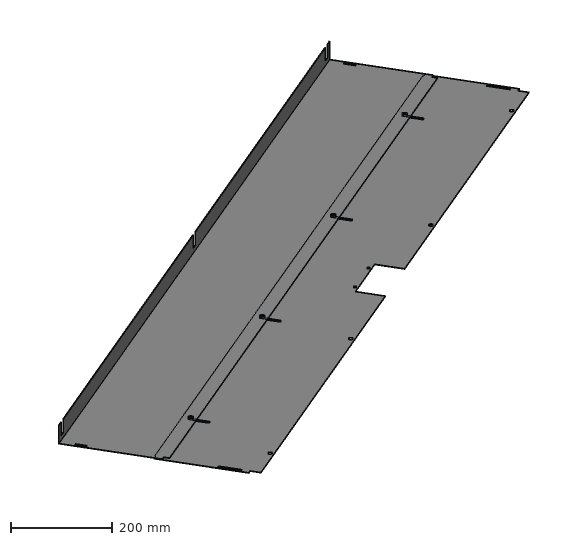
import cadquery as cq

length = 1725.0
width = 418.0
height = 43.0
half_length = length / 2

sheet = 1.5
panel_top = sheet
floor_top = panel_top + sheet

floor_width = 228.0
flange_notch_width = 14.0
flange_notch_bottom = 14.0
end_notch_y = 842.0
flange_notch_places = (-end_notch_y, 0, end_notch_y)
floor_relief_start = 215.0
floor_slot_start = 33.0
floor_slot_end = 57.0

panel_start = 197.0
tab_start = 198.0
tab_end = 395.0
cutout_depth = 62.0
cutout_width = 123.0
panel_slot_start = 330.0
panel_slot_end = 378.0

corner_relief = 9.0
end_slot_width = 3.0
end_slot_y = 856.0

edge_hole_diameter = 9.0
edge_hole_inset = 9.0
edge_hole_places = (-770.0, -255.0, 255.0, 770.0)
cutout_hole_diameter = 6.4
cutout_hole_inset = 7.0
cutout_hole_spacing = 85.0

screw_count = 4
screw_x = 215.0
last_screw_y = 682.0
shank_diameter = 6.4
head_diameter = 11.2
head_height = 3.0
socket_diameter = 5.5
socket_depth = 2.0
adjusting_slot_end = 252.0

screw_pitch = 2 * last_screw_y / (screw_count - 1)
screw_places = [-last_screw_y + i * screw_pitch for i in range(screw_count)]


def slab(x_start, x_end, y_start, y_end, z_start, z_end):
    """Rectangular block between the given limits."""
    size = (x_end - x_start, y_end - y_start, z_end - z_start)
    return cq.Workplane().box(*size, centered=False).translate((x_start, y_start, z_start))


def cylinder(x, y, z_start, diameter, tall):
    """Upright cylinder that stands on z_start."""
    return cq.Workplane(origin=(x, y, z_start)).circle(diameter / 2).extrude(tall)


def cut_corner_reliefs(body, x_start, x_end):
    """Shorten both ends of a panel between two X places."""
    inner_y = half_length - corner_relief
    body = body.cut(slab(x_start, x_end, inner_y, half_length, 0, floor_top))
    return body.cut(slab(x_start, x_end, -half_length, -inner_y, 0, floor_top))


def cut_end_slots(body, x_start, x_end):
    """Cut a narrow slot through a panel close to each end."""
    for y in (-end_slot_y, end_slot_y):
        y_start = y - end_slot_width / 2
        y_end = y + end_slot_width / 2
        body = body.cut(slab(x_start, x_end, y_start, y_end, 0, floor_top))
    return body


def make_flanged_panel():
    floor = slab(0, floor_width, -half_length, half_length, panel_top, floor_top)
    flange = slab(0, sheet, -half_length, half_length, panel_top, height)
    body = floor.union(flange)

    for y in flange_notch_places:
        y_start = y - flange_notch_width / 2
        y_end = y + flange_notch_width / 2
        body = body.cut(slab(0, sheet, y_start, y_end, flange_notch_bottom, height))

    body = cut_corner_reliefs(body, floor_relief_start, floor_width)
    body = cut_end_slots(body, floor_slot_start, floor_slot_end)

    for y in screw_places:
        body = body.cut(cylinder(screw_x, y, panel_top, shank_diameter, sheet))
    return body


def make_flat_panel():
    body = slab(panel_start, width, -half_length, half_length, 0, panel_top)
    body = cut_corner_reliefs(body, panel_start, tab_start)
    body = cut_corner_reliefs(body, tab_end, width)
    body = cut_end_slots(body, panel_slot_start, panel_slot_end)

    cutout_x = width - cutout_depth
    body = body.cut(slab(cutout_x, width, -cutout_width / 2, cutout_width / 2, 0, panel_top))

    for y in edge_hole_places:
        body = body.cut(cylinder(width - edge_hole_inset, y, 0, edge_hole_diameter, sheet))
    for y in (-cutout_hole_spacing / 2, cutout_hole_spacing / 2):
        body = body.cut(cylinder(cutout_x - cutout_hole_inset, y, 0, cutout_hole_diameter, sheet))

    slot_length = adjusting_slot_end - screw_x + shank_diameter
    slot_centre_x = (screw_x + adjusting_slot_end) / 2
    slot_centres = [(slot_centre_x, y) for y in screw_places]
    slots = cq.Workplane().pushPoints(slot_centres).slot2D(slot_length, shank_diameter).extrude(sheet)
    return body.cut(slots)


def make_screw(y):
    """Screw with its shank through both sheets and a socketed head on the floor."""
    shank = cylinder(screw_x, y, 0, shank_diameter, floor_top)
    head = cylinder(screw_x, y, floor_top, head_diameter, head_height)
    socket_bottom = floor_top + head_height - socket_depth
    socket = cylinder(screw_x, y, socket_bottom, socket_diameter, socket_depth)
    return shank.union(head).cut(socket)


flanged_panel = make_flanged_panel()
flat_panel = make_flat_panel()
screws = [make_screw(y) for y in screw_places]

result = cq.Compound.makeCompound(
    [flanged_panel.val(), flat_panel.val(), *[screw.val() for screw in screws]]
)